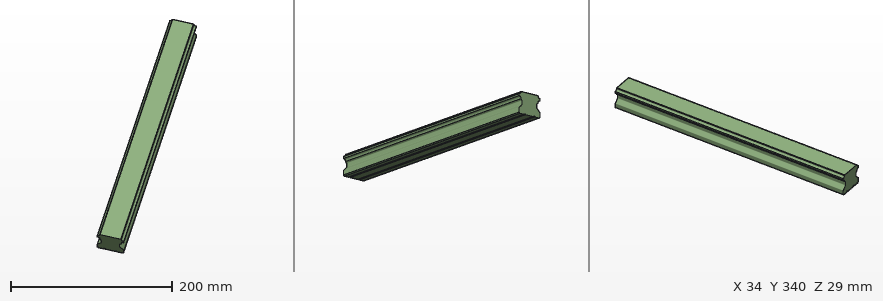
import cadquery as cq
import math

length = 340.0
width = 34.0
height = 29.0
half_width = width / 2

top_chamfer = 0.7
nose_top = 25.5
nose_bottom = 22.8

track_radius = 3.0
track_wall = half_width - track_radius

web_half_width = 12.0
head_slope_bottom = 17.5
head_slope_top = head_slope_bottom + track_wall - web_half_width
web_fillet = 1.0

foot_shoulder = 7.0
foot_slope_top = foot_shoulder + half_width - web_half_width
shoulder_fillet = 1.0
bottom_chamfer = 1.5

groove_offset = 7.5
groove_radius = 1.0
relief_depth = 0.1


def extrude_along_rail(outline):
    """Close an XZ outline and extrude it over the full length, centred on the origin."""
    return outline.close().extrude(length / 2, both=True)


def edge_along_rail(x, z):
    """Selector for the lengthwise edge at the given X and Z."""
    return cq.selectors.NearestToPointSelector((x, 0, z))


def upper_track():
    """Cutter for the right top corner: chamfer and concave track down to the nose."""
    diagonal = track_radius * math.sqrt(0.5)
    centre_z = nose_top + track_radius
    return extrude_along_rail(
        cq.Workplane("XZ")
        .moveTo(half_width, nose_top)
        .threePointArc(
            (half_width - diagonal, centre_z - diagonal),
            (track_wall, height - top_chamfer),
        )
        .lineTo(track_wall - top_chamfer, height)
        .lineTo(half_width, height)
    )


def side_channel():
    """Cutter for the right side: lower track, slope to the web, web and slope to the foot."""
    diagonal = track_radius * math.sqrt(0.5)
    centre_z = nose_bottom - track_radius
    channel = extrude_along_rail(
        cq.Workplane("XZ")
        .moveTo(half_width, foot_shoulder)
        .lineTo(web_half_width, foot_slope_top)
        .lineTo(web_half_width, head_slope_bottom)
        .lineTo(track_wall, head_slope_top)
        .threePointArc((half_width - diagonal, centre_z + diagonal), (half_width, nose_bottom))
    )
    for z in (foot_slope_top, head_slope_bottom):
        channel = channel.edges(edge_along_rail(web_half_width, z)).fillet(web_fillet)
    return channel


def underside_groove():
    """Cutter for the half-round groove on the right of the underside."""
    return extrude_along_rail(
        cq.Workplane("XZ")
        .moveTo(groove_offset - groove_radius, 0)
        .threePointArc((groove_offset, groove_radius), (groove_offset + groove_radius, 0))
    )


def underside_relief():
    """Cutter for the shallow strip between the two underside grooves."""
    return cq.Workplane("XY").box(2 * groove_offset, length, relief_depth, centered=(True, True, False))


blank = cq.Workplane("XY").box(width, length, height, centered=(True, True, False))
result = blank.faces("<Z").edges("|Y").chamfer(bottom_chamfer)
for cutter in (upper_track(), side_channel(), underside_groove()):
    result = result.cut(cutter).cut(cutter.mirror("YZ"))
result = result.cut(underside_relief())
for x in (-half_width, half_width):
    result = result.edges(edge_along_rail(x, foot_shoulder)).fillet(shoulder_fillet)
result = result.solids()